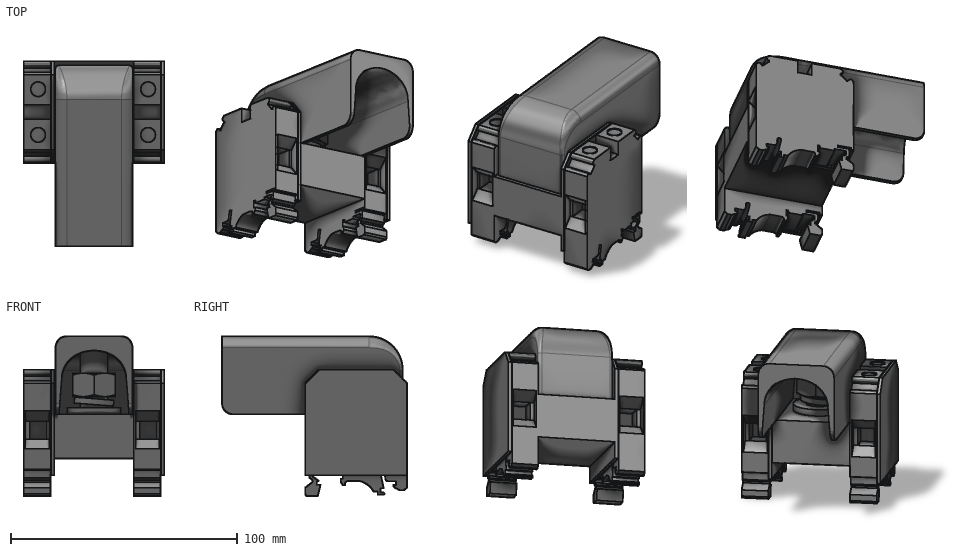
import cadquery as cq
import math


overall_width = 62.31
overall_length = 81.88
overall_height = 70.75

terminal_depth = 45.1
terminal_back = terminal_depth / 2
terminal_top = 56.0
corner_chamfer = 6.0
body_width = 12.0
cover_thickness = 1.5
cover_bottom = 9.2
seam_depth = 0.3

block_width = 35.0
block_depth = 44.9
block_bottom = 16.65
block_top = 36.15

terminal_width = (overall_width - block_width) / 2
seam_width = terminal_width - body_width - cover_thickness
terminal_left_sides = (-overall_width / 2, block_width / 2)

marker_slot_width = 6.5
marker_slot_depth = 6.45
label_groove_width = 4.4
label_groove_depth = 2.3
label_groove_lip = 0.8
screw_diameter = 6.5
screw_recess = 0.4
screw_spacing = 20.2
screw_x = 6.45
funnel_left = 0.85
funnel_width = 10.6
funnel_bottom = 21.0
funnel_top = 37.7
funnel_depth = 4.2
wire_bore_left = 2.7
wire_bore_width = 7.6
wire_bore_bottom = 25.2
wire_bore_top = 33.2
wire_bore_depth = 8.0

foot_front_bottom = 11.8

hood_length = 80.0
hood_width = 34.1
hood_front = terminal_back - overall_length
hood_back = hood_front + hood_length
hood_rear_radius = 15.0
hood_edge_radius = 5.0
hood_rear_edge_radius = 1.5
hood_front_corner_radius = 5.0
hood_rear_wall = 2.0
arch_center_z = 52.0
arch_half_width = 14.3
arch_top = 64.45
arch_half_width_at_base = 15.5

stud_diameter = 12.0
washer_diameter = 23.7
washer_thickness = 2.9
spring_washer_diameter = 17.4
spring_washer_thickness = 2.6
spring_washer_tilt = 4.5
spring_washer_center_z = 41.8
nut_width_across_flats = 19.0
nut_bottom = 44.0
nut_height = 10.4
nut_chamfer_angle = 30.0


def box(x_min, x_max, y_min, y_max, z_min, z_max):
    """Axis-aligned box between the given limits."""
    size = (x_max - x_min, y_max - y_min, z_max - z_min)
    return cq.Workplane("XY").box(*size, centered=False).translate((x_min, y_min, z_min))


def foot_outline(sketch):
    """Continue the body outline along the foot, from the back edge to the front edge."""
    sketch = sketch.lineTo(terminal_back, 3.8).lineTo(21.15, 2.55).lineTo(19.2, 2.55)
    sketch = sketch.lineTo(18.2, 3.2).lineTo(17.4, 3.5).lineTo(16.45, 4.3).lineTo(16.45, 5.05)
    sketch = sketch.lineTo(17.6, 5.05).lineTo(17.6, 6.5).lineTo(14.3, 6.5)
    sketch = sketch.threePointArc((13.3, 6.9), (12.85, 7.9))
    sketch = sketch.lineTo(12.65, 10.0).threePointArc((11.75, 10.95), (10.9, 10.0))
    sketch = sketch.lineTo(12.2, 3.5).lineTo(10.9, 3.5).lineTo(10.9, 1.65).lineTo(12.1, 1.65)
    sketch = sketch.lineTo(12.65, 1.15).lineTo(12.3, 0.6).lineTo(9.55, 0.6).lineTo(9.55, 2.0)
    sketch = sketch.lineTo(7.75, 2.0).threePointArc((5.1, 5.0), (1.65, 6.65))
    sketch = sketch.lineTo(-3.3, 6.65).threePointArc((-4.3, 6.4), (-4.9, 5.7))
    sketch = sketch.lineTo(-4.9, 4.75).lineTo(-5.8, 4.75).lineTo(-6.8, 6.25).lineTo(-6.8, 7.75)
    sketch = sketch.lineTo(-5.95, 7.75).lineTo(-5.95, 10.85).lineTo(-6.8, 10.85)
    sketch = sketch.lineTo(-7.1, 9.55).lineTo(-13.7, 9.55).lineTo(-13.7, 10.55)
    sketch = sketch.lineTo(-18.55, 10.55).lineTo(-19.0, 10.1).lineTo(-19.0, 8.6)
    sketch = sketch.lineTo(-16.5, 6.8).lineTo(-17.35, 6.4).lineTo(-17.35, 5.15)
    sketch = sketch.lineTo(-15.7, 5.0).lineTo(-16.9, 0).lineTo(-22.05, 0)
    sketch = sketch.lineTo(-terminal_back, 1.0).lineTo(-terminal_back, 3.75).lineTo(-19.3, 6.25)
    sketch = sketch.lineTo(-19.3, 7.1).lineTo(-20.65, 8.1).lineTo(-20.65, 11.5)
    sketch = sketch.lineTo(-20.35, 11.9).lineTo(-15.25, 11.9)
    sketch = sketch.threePointArc((-15.7, 12.35), (-15.25, 12.8)).lineTo(-21.5, 12.8)
    return sketch.lineTo(-21.5, foot_front_bottom).lineTo(-terminal_back, foot_front_bottom)


def chamfered_top(sketch):
    """Draw the shared upper outline of body and cover, from the front side to the back side."""
    shoulder = terminal_top - corner_chamfer
    shelf = terminal_back - corner_chamfer
    sketch = sketch.moveTo(-terminal_back, shoulder).lineTo(-shelf, terminal_top)
    return sketch.lineTo(shelf, terminal_top).lineTo(terminal_back, shoulder)


def label_groove():
    """Cutter for the groove in the front corner chamfer, with rounded lips at its mouth."""
    half = label_groove_width / 2
    lip = label_groove_lip
    groove = (
        cq.Workplane("YZ")
        .moveTo(-half, -label_groove_depth)
        .lineTo(-half, -lip)
        .radiusArc((-half - lip, 0), -lip)
        .lineTo(half + lip, 0)
        .radiusArc((half, -lip), -lip)
        .lineTo(half, -label_groove_depth)
        .close()
        .extrude(body_width)
    )
    inset = corner_chamfer / 2
    groove = groove.rotate((0, 0, 0), (1, 0, 0), 45)
    return groove.translate((0, -terminal_back + inset, terminal_top - inset))


def wire_entry():
    """Cutter for the front wire entry: a funnel narrowing in height, then a blind square bore."""
    bore_start = -terminal_back + funnel_depth
    funnel = (
        cq.Workplane("YZ")
        .moveTo(-terminal_back, funnel_bottom)
        .lineTo(bore_start, wire_bore_bottom)
        .lineTo(bore_start, wire_bore_top)
        .lineTo(-terminal_back, funnel_top)
        .close()
        .extrude(funnel_width)
        .translate((funnel_left, 0, 0))
    )
    bore = box(
        wire_bore_left,
        wire_bore_left + wire_bore_width,
        bore_start,
        bore_start + wire_bore_depth,
        wire_bore_bottom,
        wire_bore_top,
    )
    return funnel.union(bore)


def cover_outline(left_side):
    """Closed outline of the cover plate, drawn at the given X."""
    return (
        chamfered_top(cq.Workplane("YZ", origin=(left_side, 0, 0)))
        .lineTo(terminal_back, cover_bottom)
        .lineTo(-terminal_back, cover_bottom)
        .close()
    )


def cover():
    """Cover plate, with a narrow set-back seam between it and the body."""
    seam = cover_outline(body_width).offset2D(-seam_depth).extrude(seam_width)
    plate = cover_outline(body_width + seam_width).extrude(cover_thickness)
    return plate.union(seam)


def terminal():
    """One terminal with its left side at X = 0."""
    body = foot_outline(chamfered_top(cq.Workplane("YZ"))).close().extrude(body_width)
    for cutter in (label_groove(), wire_entry()):
        body = body.cut(cutter).cut(cutter.mirror("XZ"))
    half_slot = marker_slot_width / 2
    body = body.cut(
        box(0, body_width, -half_slot, half_slot, terminal_top - marker_slot_depth, terminal_top)
    )
    screw_heads = (
        cq.Workplane("XY", origin=(screw_x, 0, terminal_top))
        .rarray(1, screw_spacing, 1, 2)
        .circle(screw_diameter / 2)
        .extrude(-screw_recess)
    )
    return body.cut(screw_heads).union(cover())


def round_hood_edges(shell):
    """Round the upper side edges, with a radius that narrows along the rear bend to the upright edges."""
    fillet = cq.occ_impl.shapes.BRepFilletAPI_MakeFillet(shell.val().wrapped)
    side_edges = shell.faces("<X or >X").edges("|Y and >Z").vals()
    for edge in side_edges:
        fillet.Add(edge.wrapped)
    for chain in range(1, len(side_edges) + 1):
        fillet.SetRadius(hood_edge_radius, chain, 1)
        fillet.SetRadius(hood_edge_radius, hood_rear_edge_radius, chain, 2)
        fillet.SetRadius(hood_rear_edge_radius, chain, 3)
    return cq.Workplane(cq.Shape.cast(fillet.Shape()))


def hood():
    """Arched hood, open underneath and at the front, with a rounded rear."""
    half_width = hood_width / 2
    shell = box(-half_width, half_width, hood_front, hood_back, block_top, overall_height)
    shell = shell.edges("|X and >Y and >Z").fillet(hood_rear_radius)
    shell = round_hood_edges(shell)
    shell = shell.edges("|X and <Y and <Z").fillet(hood_front_corner_radius)

    sides = (
        cq.Workplane("XZ", origin=(0, hood_back, 0))
        .polyline(
            [
                (-arch_half_width_at_base, block_top),
                (arch_half_width_at_base, block_top),
                (arch_half_width, arch_center_z),
                (-arch_half_width, arch_center_z),
            ]
        )
        .close()
        .extrude(hood_length)
    )
    arch = (
        cq.Workplane("XZ", origin=(0, hood_back, arch_center_z))
        .ellipse(arch_half_width, arch_top - arch_center_z)
        .extrude(hood_length)
    )
    cavity_back = hood_back - hood_rear_wall
    cavity_top = overall_height - hood_rear_wall
    limit = box(-half_width, half_width, hood_front, cavity_back, block_top, cavity_top)
    limit = limit.edges("|X and >Y and >Z").fillet(hood_rear_radius - hood_rear_wall)
    return shell.cut(sides.union(arch).intersect(limit))


def nut():
    """Hexagon nut with both faces chamfered by a cone, corners pointing along Y."""
    corner_radius = nut_width_across_flats / math.sqrt(3)
    flat_radius = nut_width_across_flats / 2
    chamfer_height = (corner_radius - flat_radius) * math.tan(math.radians(nut_chamfer_angle))
    hexagon = (
        cq.Workplane("XY", origin=(0, 0, nut_bottom))
        .polygon(6, 2 * corner_radius)
        .extrude(nut_height)
        .rotate((0, 0, 0), (0, 0, 1), 30)
    )
    envelope = (
        cq.Workplane("XZ")
        .moveTo(0, nut_bottom)
        .lineTo(flat_radius, nut_bottom)
        .lineTo(corner_radius, nut_bottom + chamfer_height)
        .lineTo(corner_radius, nut_bottom + nut_height - chamfer_height)
        .lineTo(flat_radius, nut_bottom + nut_height)
        .lineTo(0, nut_bottom + nut_height)
        .close()
        .revolve(360, (0, 0, 0), (0, 1, 0))
    )
    return hexagon.intersect(envelope)


def fastening():
    """Stud on the block with its flat washer, tilted spring washer and nut."""
    stud = cq.Workplane("XY").circle(stud_diameter / 2).extrude(arch_top - block_top)
    washer = cq.Workplane("XY").circle(washer_diameter / 2).extrude(washer_thickness)
    spring_washer = (
        cq.Workplane("XY")
        .circle(spring_washer_diameter / 2)
        .extrude(spring_washer_thickness / 2, both=True)
        .rotate((0, 0, 0), (0, 1, 0), spring_washer_tilt)
        .translate((0, 0, spring_washer_center_z))
    )
    return stud.union(washer).translate((0, 0, block_top)).union(spring_washer).union(nut())


block = box(
    -block_width / 2,
    block_width / 2,
    terminal_back - block_depth,
    terminal_back,
    block_bottom,
    block_top,
)
result = block.union(hood()).union(fastening())
for left_side in terminal_left_sides:
    result = result.union(terminal().translate((left_side, 0, 0)))